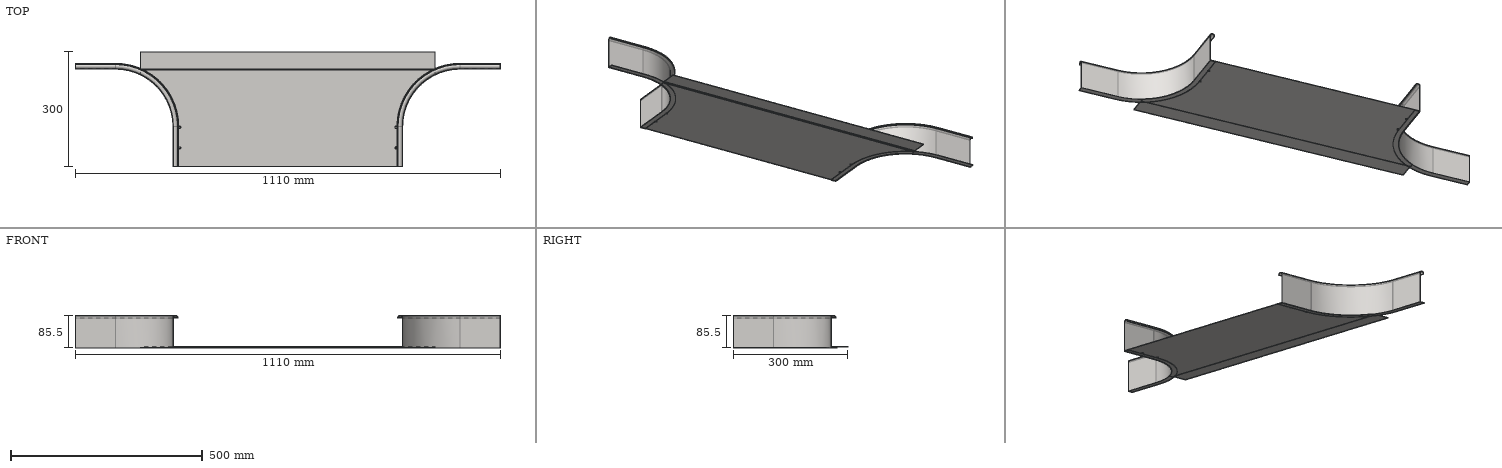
import cadquery as cq
import math

rail_span = 1110.0
throat_width = 600.0
floor_depth = 300.0
overall_height = 85.5
sheet = 1.0

straight_run = 105.0
bend_radius = 150.0
flange_width = 15.0
curl_radius = 6.5

strip_width = 770.0
strip_step = 2.0
ramp_start = 252.0
ramp_length = 3.0

hole_diameter = 5.0
hole_rows = (49.0, 103.0)

wall_x = throat_width / 2
bend_x = wall_x + bend_radius
bend_y = straight_run
hole_x = wall_x - flange_width - hole_diameter / 2


def bend_point(radius, angle):
    """Point on a circle around the centre of the right-hand bend."""
    return (bend_x + radius * math.cos(angle), bend_y + radius * math.sin(angle))


def make_right_rail():
    """Sheet profile with a bottom flange and a half-round top curl, swept along the bend."""
    path = (
        cq.Workplane("XY")
        .moveTo(wall_x, 0)
        .lineTo(wall_x, bend_y)
        .threePointArc(bend_point(bend_radius, math.radians(135)), (bend_x, bend_y + bend_radius))
        .lineTo(rail_span / 2, bend_y + bend_radius)
    )
    inner_x = wall_x - sheet
    flange_x = wall_x - flange_width
    curl_x = wall_x - curl_radius
    lip_x = wall_x - 2 * curl_radius
    curl_base = overall_height - curl_radius
    profile = (
        cq.Workplane("XZ")
        .moveTo(wall_x, 0)
        .lineTo(wall_x, curl_base)
        .threePointArc((curl_x, overall_height), (lip_x, curl_base))
        .lineTo(lip_x + sheet, curl_base)
        .threePointArc((curl_x, overall_height - sheet), (inner_x, curl_base))
        .lineTo(inner_x, sheet)
        .lineTo(flange_x, sheet)
        .lineTo(flange_x, 0)
        .close()
    )
    return profile.sweep(path)


def floor_section():
    """Floor sheet in side profile, with the raised strip, as wide as the strip."""
    ramp_end = ramp_start + ramp_length
    low = sheet
    high = low + strip_step
    return (
        cq.Workplane("YZ")
        .moveTo(0, low)
        .lineTo(ramp_start, low)
        .lineTo(ramp_end, high)
        .lineTo(floor_depth, high)
        .lineTo(floor_depth, high + sheet)
        .lineTo(ramp_end, high + sheet)
        .lineTo(ramp_start, low + sheet)
        .lineTo(0, low + sheet)
        .close()
        .extrude(strip_width / 2, both=True)
    )


def floor_outline():
    """Tall block with the floor's plan shape, following the inner faces of the rails."""
    half_strip = strip_width / 2
    edge_x = wall_x - sheet
    edge_radius = bend_radius + sheet
    end_angle = math.acos((half_strip - bend_x) / edge_radius)
    end_x, end_y = bend_point(edge_radius, end_angle)
    mid_x, mid_y = bend_point(edge_radius, (end_angle + math.pi) / 2)
    return (
        cq.Workplane("XY")
        .moveTo(-edge_x, 0)
        .lineTo(edge_x, 0)
        .lineTo(edge_x, bend_y)
        .threePointArc((mid_x, mid_y), (end_x, end_y))
        .lineTo(half_strip, floor_depth)
        .lineTo(-half_strip, floor_depth)
        .lineTo(-end_x, end_y)
        .threePointArc((-mid_x, mid_y), (-edge_x, bend_y))
        .close()
        .extrude(overall_height)
    )


def make_floor():
    hole_points = [(side * hole_x, y) for side in (-1, 1) for y in hole_rows]
    holes = (
        cq.Workplane("XY")
        .pushPoints(hole_points)
        .circle(hole_diameter / 2)
        .extrude(overall_height)
    )
    return floor_section().intersect(floor_outline()).cut(holes)


floor = make_floor()
right_rail = make_right_rail()
left_rail = right_rail.mirror("YZ")
rails = [right_rail, left_rail]

result = cq.Compound.makeCompound([floor.val(), *[rail.val() for rail in rails]])